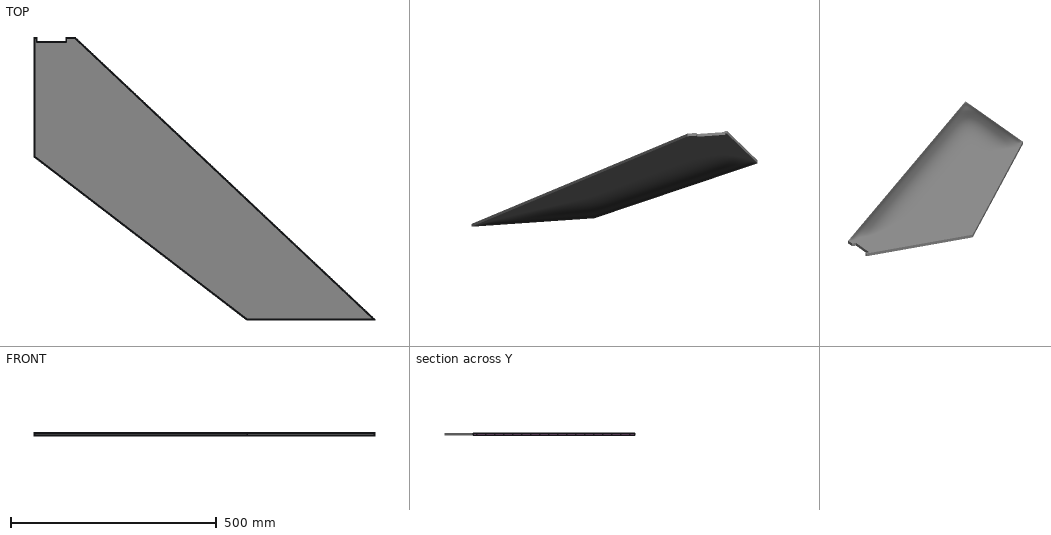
import cadquery as cq

length_x = 825.86
width_y = 684.38
thickness = 7.0

left_edge = 288.7
back_edge = 98.6
front_edge = 309.6

notch_offset = 6.0
notch_width = 71.0
notch_depth = 10.0


def make_plate():
    """Five-sided plate; its bounding box has one corner at the origin."""
    outline = [
        (0, width_y),
        (0, width_y - left_edge),
        (length_x - front_edge, 0),
        (length_x, 0),
        (back_edge, width_y),
    ]
    return cq.Workplane("XY").polyline(outline).close().extrude(thickness)


def make_notch():
    """Cutter for the notch, reaching the back edge and through the full thickness."""
    cutter = cq.Workplane("XY").box(notch_width, notch_depth, thickness, centered=False)
    return cutter.translate((notch_offset, width_y - notch_depth, 0))


result = make_plate().cut(make_notch())